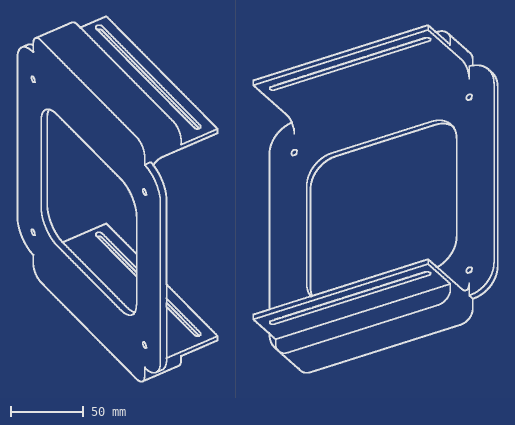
import cadquery as cq

width = 180.0
depth = 60.0
height = 221.7
plate_thickness = 5.0
ear_height = 185.8
ear_radius = 20.0
window_size = 120.0
window_radius = 20.0

block_width = width - 2 * ear_radius
block_depth = depth / 2
block_radius = 10.0
flange_thickness = 4.0
inner_fillet_radius = 10.0

hole_diameter = 4.5
hole_spacing = block_width
slot_length = 128.1
slot_width = 4.7
slot_edge_distance = 10.5
slot_offset_x = -1.3
opening_offset_z = -2.2



def front_prism(size_x, size_z, thickness, corner_radius):
    """Rounded rectangle centred on the origin, extruded back from the front face."""
    return (
        cq.Workplane("XZ")
        .rect(size_x, size_z)
        .extrude(-thickness)
        .edges("|Y")
        .fillet(corner_radius)
    )


def make_upper_bracket():
    """Flange plus the web that blends its underside into the plate."""
    flange_bottom = ear_height / 2
    flange_top = flange_bottom + flange_thickness
    web_end = plate_thickness + inner_fillet_radius
    web_bottom = flange_bottom - inner_fillet_radius
    arc_reach = inner_fillet_radius * (1 - 0.5 ** 0.5)
    arc_middle = (plate_thickness + arc_reach, flange_bottom - arc_reach)
    bracket = (
        cq.Workplane("YZ")
        .moveTo(0, flange_top)
        .lineTo(depth, flange_top)
        .lineTo(depth, flange_bottom)
        .lineTo(web_end, flange_bottom)
        .threePointArc(arc_middle, (plate_thickness, web_bottom))
        .lineTo(0, web_bottom)
        .close()
        .extrude(block_width / 2, both=True)
    )
    slot = (
        cq.Workplane("XY", origin=(slot_offset_x, depth - slot_edge_distance, flange_bottom))
        .slot2D(slot_length, slot_width)
        .extrude(flange_thickness)
    )
    return bracket.cut(slot)


plate = front_prism(width, ear_height, plate_thickness, ear_radius)

end_blocks = front_prism(block_width, height, block_depth, block_radius)
middle_gap = cq.Workplane("XZ").rect(block_width, ear_height).extrude(-block_depth)
end_blocks = end_blocks.cut(middle_gap)

upper_bracket = make_upper_bracket()
lower_bracket = upper_bracket.mirror("XY")
frame = plate.union(end_blocks).union(upper_bracket).union(lower_bracket)

window = front_prism(window_size, window_size, plate_thickness, window_radius)
mounting_holes = (
    cq.Workplane("XZ")
    .rect(hole_spacing, hole_spacing, forConstruction=True)
    .vertices()
    .circle(hole_diameter / 2)
    .extrude(-plate_thickness)
)

openings = window.union(mounting_holes).translate((0, 0, opening_offset_z))

result = frame.cut(openings)